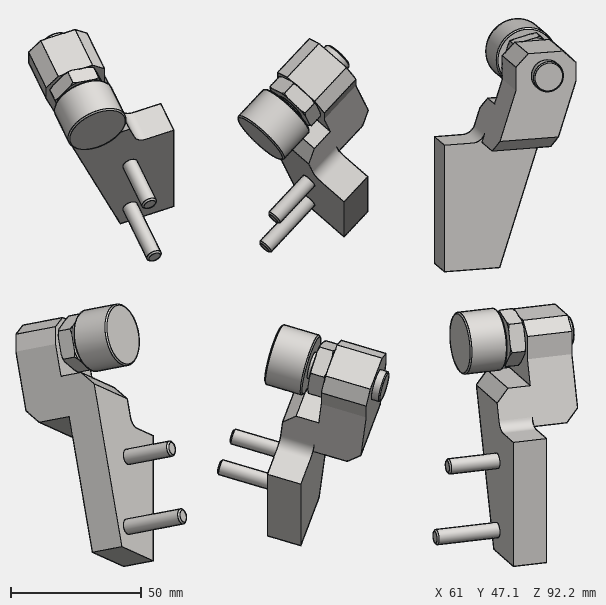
import cadquery as cq
import math

arm_left = 3.3
arm_right = 21.5
plate_left = 22.0
plate_right = 35.6
depth = 47.1
bottom_front_y = 25.0
ledge_z = 50.2
shoulder_z = 65.2
lean_start_z = 77.0
back_lean_start_z = 74.8
arm_width = 24.1
head_top = 89.1
bevel = 5.0
ledge_fillet = 5.0

pin_diameter = 6.0
pin_y = 29.0
pin_chamfer = 0.6
lower_pin_z = 9.0
upper_pin_z = 37.0
lower_pin_end = 61.0
upper_pin_end = 55.9

screw_y = 12
screw_z = 80.2
thread_diameter = 12
neck_diameter = 10.5
thread_end = 28.2
thread_chamfer = 0.5
hex_right = 27.6
hex_across_flats = 19.0
hex_turn = 107.2
hex_chamfer_angle = 30
hex_face_diameter = 20.3
head_left = 29.5
head_right = 44.6
head_diameter = 24
head_chamfer = 0.55

lean = bottom_front_y / lean_start_z
arm_back_y = arm_width + lean * (back_lean_start_z - ledge_z)


def cylinder_x(diameter, start, end, y, z):
    """Cylinder along X from start to end."""
    plane = cq.Workplane("YZ", origin=(start, y, z))
    return plane.circle(diameter / 2).extrude(end - start)


def make_side_profile():
    """Leaning side outline of the bracket, as wide as arm and plate together."""
    outline = [
        (bottom_front_y, 0),
        (depth, 0),
        (depth, ledge_z),
        (arm_back_y, ledge_z),
        (arm_width, back_lean_start_z),
        (arm_width, head_top - bevel),
        (arm_width - bevel, head_top),
        (bevel, head_top),
        (0, head_top - bevel),
        (0, lean_start_z),
    ]
    start = cq.Workplane("YZ", origin=(arm_left, 0, 0))
    return start.polyline(outline).close().extrude(plate_right - arm_left)


def make_front_prism(outline):
    """Prism through the full depth from an outline in X and Z."""
    return cq.Workplane("XZ").polyline(outline).close().extrude(-depth)


def make_bracket():
    """Offset bracket with its two fixed locating pins."""
    arm_outline = [
        (arm_left, ledge_z + bevel),
        (arm_left + bevel, ledge_z),
        (plate_left, ledge_z),
        (plate_left, shoulder_z),
        (arm_right, shoulder_z),
        (arm_right, head_top),
        (arm_left, head_top),
    ]
    plate_outline = [
        (plate_left, 0),
        (plate_right, 0),
        (plate_right, shoulder_z - bevel),
        (plate_right - bevel, shoulder_z),
        (plate_left, shoulder_z),
    ]
    side = make_side_profile()
    inner_corner = cq.selectors.NearestToPointSelector(
        ((arm_left + plate_right) / 2, arm_back_y, ledge_z)
    )
    filleted_side = side.edges(inner_corner).fillet(ledge_fillet)
    arm = side.intersect(make_front_prism(arm_outline))
    plate = filleted_side.intersect(make_front_prism(plate_outline))
    bracket = arm.union(plate)

    for pin_z, pin_end in ((lower_pin_z, lower_pin_end), (upper_pin_z, upper_pin_end)):
        pin = cylinder_x(pin_diameter, plate_right, pin_end, pin_y, pin_z)
        bracket = bracket.union(pin.faces(">X").chamfer(pin_chamfer))

    screw_hole = cylinder_x(thread_diameter, arm_left, arm_right, screw_y, screw_z)
    return bracket.cut(screw_hole)


def make_hexagon():
    """Hexagon against the arm, its corners trimmed by a cone at each end."""
    corner_radius = hex_across_flats / math.sqrt(3)
    length = hex_right - arm_right
    hexagon = (
        cq.Workplane("YZ")
        .polygon(6, 2 * corner_radius)
        .extrude(length)
        .rotate((0, 0, 0), (1, 0, 0), hex_turn)
        .translate((arm_right, screw_y, screw_z))
    )
    face_radius = hex_face_diameter / 2
    trim_length = (corner_radius - face_radius) * math.tan(math.radians(hex_chamfer_angle))
    envelope = (
        cylinder_x(2 * corner_radius, arm_right, hex_right, screw_y, screw_z)
        .faces("<X or >X")
        .chamfer(trim_length, corner_radius - face_radius)
    )
    return hexagon.intersect(envelope)


def make_screw():
    """Thread, hexagon, neck and round head on one axis."""
    thread = cylinder_x(thread_diameter, 0, thread_end, screw_y, screw_z)
    thread = thread.faces("<X or >X").chamfer(thread_chamfer)
    neck = cylinder_x(neck_diameter, thread_end, head_left, screw_y, screw_z)
    head = cylinder_x(head_diameter, head_left, head_right, screw_y, screw_z)
    head = head.faces("<X or >X").chamfer(head_chamfer)
    return thread.union(make_hexagon()).union(neck).union(head)


bracket = make_bracket()
screw = make_screw()
result = cq.Compound.makeCompound([bracket.val(), screw.val()])